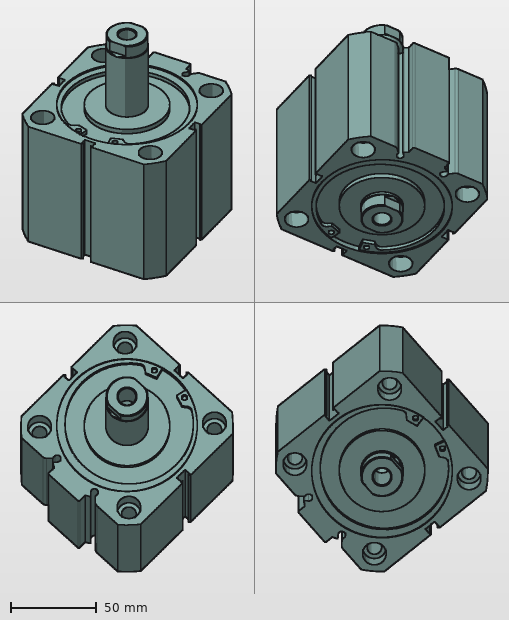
import cadquery as cq
import math


rod_length = 142.0
bottom_stickout = 10.0
housing_height = 82.1
housing_bottom = bottom_stickout
housing_top = housing_bottom + housing_height
housing_middle = housing_bottom + housing_height / 2

half_width = 48.3
corner_circle_radius = 61.9
bore_radius = 41.0

block_half_width = 12.5
block_top = 53.7
block_edge_fillet = 0.7
groove_x = 15.0
groove_y = 43.2
groove_radius = 2.1
groove_mouth_chamfer = 3.5
groove_mouth_fillet = 2.8
groove_lip_fillet = 0.5
lip_slope = math.radians(28)

slot_width = 7.0
slot_depth = 4.7
slot_mouth_width = 5.0
slot_lip = 1.0
slot_lip_chamfer = 0.7

mount_spacing = 72.1
mount_diameter = 8.5
counterbore_diameter = 13.8
counterbore_depth = 11.4

cover_depth = 17.0
boss_radius = 25.0
boss_setback = 0.4
ring_setback = 1.0
ring_thickness = 2.5

ring_opening_radius = 37.5
ring_opening_shift = 1.8
ring_gap_half_angle = math.radians(13.5)
lug_inner_radius = 34.4
lug_tip = (14.8, -31.1)
lug_root = (18.9, -34.4)
lug_root_fillet = 3.5
plier_hole = (12.2, -35.8)
plier_hole_diameter = 3.3
ring_cut_overrun = 8.5

rod_radius = 12.5
land_radius = 12.2
land_length = 8.2
shoulder_chamfer = rod_radius - land_radius
end_chamfer = 0.5
wrench_size = 22.0
flat_half_width = wrench_size / 2
flat_length = 7.1
rod_hole_diameter = 10.4
rod_hole_depth = 22.0
rod_hole_chamfer = 0.5
drill_half_angle = math.radians(59)


def on_both_ends(top_shape):
    """The shape at the top end, and its mirror image at the bottom end."""
    return [top_shape, top_shape.mirror("XY", (0, 0, housing_middle))]


def cylinder(radius, bottom, top, x=0.0, y=0.0):
    """An upright cylinder between two heights."""
    return cq.Workplane("XY", origin=(x, y, bottom)).circle(radius).extrude(top - bottom)


def through_housing(outline):
    """A closed outline in the XY plane, extruded over the housing height."""
    return outline.extrude(housing_height)


def housing_plane():
    """Workplane on the housing underside, facing up."""
    return cq.Workplane("XY", origin=(0, 0, housing_bottom))


def port_block():
    """Raised block along the +Y side."""
    block_bottom = groove_y
    block = through_housing(
        housing_plane()
        .center(0, (block_bottom + block_top) / 2)
        .rect(2 * block_half_width, block_top - block_bottom)
    )
    return block.edges("|Z and >Y").fillet(block_edge_fillet)


groove_diagonal = groove_radius * math.sqrt(0.5)
groove_tangent = (groove_x - groove_diagonal, groove_y + groove_diagonal)
lip_rise = half_width - groove_tangent[1]
lip_run = groove_tangent[0] - block_half_width
lip_climb = (lip_rise - math.tan(lip_slope) * lip_run) / (1 + math.tan(lip_slope))
lip_point = (groove_tangent[0] + lip_climb, groove_tangent[1] + lip_climb)
groove_outer_x = groove_x + groove_radius
groove_mouth_corner = (groove_outer_x + groove_mouth_chamfer, half_width)


def block_groove():
    """Keyhole groove beside the block at +X: a round bottom under a hooked lip."""
    return through_housing(
        housing_plane()
        .moveTo(block_half_width, half_width)
        .lineTo(*lip_point)
        .lineTo(*groove_tangent)
        .threePointArc((groove_x, groove_y - groove_radius), (groove_outer_x, groove_y))
        .lineTo(groove_outer_x, half_width - groove_mouth_chamfer)
        .lineTo(*groove_mouth_corner)
        .close()
    )


def round_upright_edge(body, point, middle, radius):
    """The body with the upright edge through an XY point rounded; middle is the edge's mid height."""
    nearest = cq.selectors.NearestToPointSelector((*point, middle))
    return body.edges(nearest).fillet(radius)


def sensor_slot():
    """T-shaped slot along the -Y side."""
    surface = -half_width
    lip_end = surface + slot_lip
    mouth = slot_mouth_width / 2
    wide = slot_width / 2
    right_side = [
        (mouth + slot_lip_chamfer, surface),
        (mouth, surface + slot_lip_chamfer),
        (mouth, lip_end),
        (wide, lip_end),
        (wide, surface + slot_depth),
    ]
    left_side = [(-x, y) for x, y in reversed(right_side)]
    return through_housing(housing_plane().polyline(right_side + left_side).close())


def mounting_holes():
    """Four through holes, counterbored at both ends."""
    holes = housing_plane().rect(mount_spacing, mount_spacing, forConstruction=True).vertices()
    cutter = holes.circle(mount_diameter / 2).extrude(housing_height)
    counterbores = (
        cq.Workplane("XY", origin=(0, 0, housing_top - counterbore_depth))
        .rect(mount_spacing, mount_spacing, forConstruction=True)
        .vertices()
        .circle(counterbore_diameter / 2)
        .extrude(counterbore_depth)
    )
    for counterbore in on_both_ends(counterbores):
        cutter = cutter.union(counterbore)
    return cutter


def make_housing():
    """Square body with arc corners, port block, slots, mounting holes and a recess at each end."""
    body = through_housing(housing_plane().rect(2 * half_width, 2 * half_width))
    body = body.intersect(cylinder(corner_circle_radius, housing_bottom, housing_top))
    body = body.union(port_block())

    groove = block_groove()
    body = body.cut(groove).cut(groove.mirror("YZ"))
    for corner, radius in ((groove_mouth_corner, groove_mouth_fillet), (lip_point, groove_lip_fillet)):
        for side in (-1, 1):
            point = (side * corner[0], corner[1])
            body = round_upright_edge(body, point, housing_middle, radius)

    for angle in (-90, 0, 90):
        body = body.cut(sensor_slot().rotate((0, 0, 0), (0, 0, 1), angle))

    body = body.cut(mounting_holes())
    body = body.cut(cylinder(rod_radius, housing_bottom, housing_top))
    for recess in on_both_ends(cylinder(bore_radius, housing_top - cover_depth, housing_top)):
        body = body.cut(recess)
    return body


ring_top = housing_top - ring_setback
ring_bottom = ring_top - ring_thickness
ring_cut_reach = bore_radius + ring_cut_overrun


def make_cover():
    """Top cover: a disc under the ring, a central boss and a rod hole."""
    cover = cylinder(bore_radius, housing_top - cover_depth, ring_bottom)
    cover = cover.union(cylinder(boss_radius, ring_bottom, housing_top - boss_setback))
    return cover.cut(cylinder(rod_radius, housing_top - cover_depth, housing_top))


def ring_plane():
    """Workplane on the underside of the top ring, facing up."""
    return cq.Workplane("XY", origin=(0, 0, ring_bottom))


def ring_lug():
    """Lug beside the gap at +X, running out past the bore."""
    gap_direction = (math.sin(ring_gap_half_angle), -math.cos(ring_gap_half_angle))
    inner_corner = [lug_inner_radius * part for part in gap_direction]
    outer_corner = [ring_cut_reach * part for part in gap_direction]
    root_stretch = ring_cut_reach / math.hypot(*lug_root)
    root_outer = [root_stretch * part for part in lug_root]
    return (
        ring_plane()
        .polyline([inner_corner, lug_tip, lug_root, root_outer, outer_corner])
        .close()
        .extrude(ring_thickness)
    )


def make_ring():
    """Top ring: eccentric opening, a gap towards -Y and a lug on each side of it."""
    gap_half = ring_cut_reach * math.tan(ring_gap_half_angle)
    gap = (
        ring_plane()
        .polyline([(0, 0), (gap_half, -ring_cut_reach), (-gap_half, -ring_cut_reach)])
        .close()
        .extrude(ring_thickness)
    )
    opening = cylinder(ring_opening_radius, ring_bottom, ring_top, y=-ring_opening_shift)
    disc = cylinder(bore_radius, ring_bottom, ring_top)

    lug = ring_lug()
    ring = disc.cut(opening).cut(gap)
    ring = ring.union(lug.union(lug.mirror("YZ")).intersect(disc))
    for side in (-1, 1):
        root = (side * lug_root[0], lug_root[1])
        ring = round_upright_edge(ring, root, ring_bottom + ring_thickness / 2, lug_root_fillet)
        x, y = side * plier_hole[0], plier_hole[1]
        ring = ring.cut(cylinder(plier_hole_diameter / 2, ring_bottom, ring_top, x, y))
    return ring


def rod_end_hole():
    """Blind hole in the top end, with a chamfered mouth and a drill-point bottom."""
    radius = rod_hole_diameter / 2
    floor = rod_length - rod_hole_depth
    return (
        cq.Workplane("XZ")
        .polyline([
            (0, rod_length),
            (radius + rod_hole_chamfer, rod_length),
            (radius, rod_length - rod_hole_chamfer),
            (radius, floor),
            (0, floor - radius / math.tan(drill_half_angle)),
        ])
        .close()
        .revolve(360, (0, 0, 0), (0, 1, 0))
    )


def wrench_flat():
    """Cutter for the -Y wrench flat at the top end, with a 45-degree run-out."""
    depth = rod_radius - flat_half_width
    flat_bottom = rod_length - flat_length
    return (
        cq.Workplane("YZ")
        .polyline([
            (-flat_half_width, rod_length),
            (-flat_half_width, flat_bottom),
            (-flat_half_width - depth, flat_bottom - depth),
            (-flat_half_width - depth, rod_length),
        ])
        .close()
        .extrude(rod_radius, both=True)
    )


def make_rod():
    """Through rod with a slightly thinner land, wrench flats and a blind hole at each end."""
    shoulder = rod_length - land_length
    rod = (
        cq.Workplane("XZ")
        .polyline([
            (0, rod_length),
            (land_radius - end_chamfer, rod_length),
            (land_radius, rod_length - end_chamfer),
            (land_radius, shoulder),
            (rod_radius, shoulder - shoulder_chamfer),
            (rod_radius, land_length + shoulder_chamfer),
            (land_radius, land_length),
            (land_radius, end_chamfer),
            (land_radius - end_chamfer, 0),
            (0, 0),
        ])
        .close()
        .revolve(360, (0, 0, 0), (0, 1, 0))
    )
    flat = wrench_flat()
    cutters = [rod_end_hole(), flat, flat.mirror("XZ")]
    for cutter in cutters:
        rod = rod.cut(cutter).cut(cutter.mirror("XY", (0, 0, rod_length / 2)))
    return rod


housing = make_housing()
rod = make_rod()
covers = on_both_ends(make_cover())
rings = on_both_ends(make_ring())

result = cq.Compound.makeCompound([
    housing.val(),
    rod.val(),
    *[cover.val() for cover in covers],
    *[ring.val() for ring in rings],
])